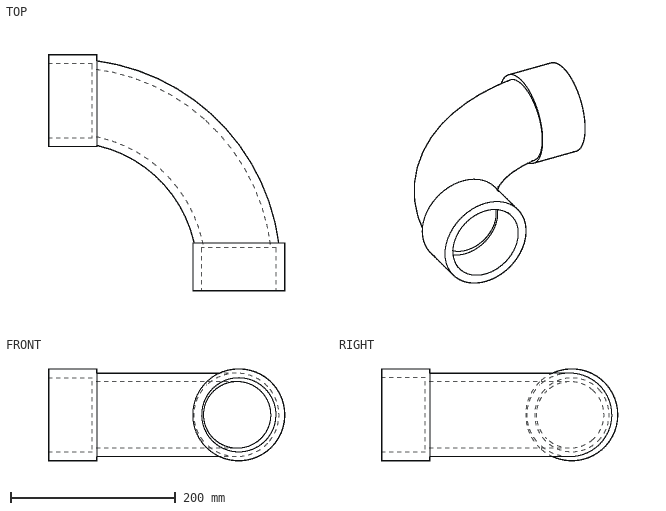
import cadquery as cq

overall = 287.0
socket_diameter = 112.0
socket_length = 58.5
socket_bore = 90.0
socket_depth = 52.8
pipe_diameter = 101.5
pipe_bore = 81.0

axis_offset = overall - socket_diameter / 2
bend_start = 24.7
bend_radius = axis_offset - bend_start

x_mouth = cq.Plane(origin=(0, axis_offset, 0), xDir=(0, 1, 0), normal=(1, 0, 0))
y_mouth = cq.Plane(origin=(axis_offset, 0, 0), xDir=(0, 0, 1), normal=(0, 1, 0))


def end_cylinders(diameter, length):
    """Coaxial cylinders running inward from both socket mouths."""
    x_end = cq.Workplane(x_mouth).circle(diameter / 2).extrude(length)
    y_end = cq.Workplane(y_mouth).circle(diameter / 2).extrude(length)
    return x_end.union(y_end)


def bend(diameter):
    """Quarter torus joining the two straight ends."""
    return (
        cq.Workplane("XZ", origin=(bend_start, bend_start, 0))
        .center(bend_radius, 0)
        .circle(diameter / 2)
        .revolve(90, (-bend_radius, 0, 0), (-bend_radius, 1, 0))
    )


body = bend(pipe_diameter).union(end_cylinders(socket_diameter, socket_length))

result = body.cut(end_cylinders(socket_bore, socket_depth)).cut(bend(pipe_bore))